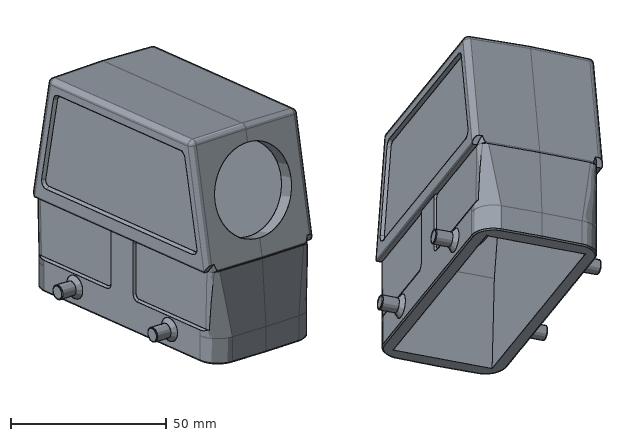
import cadquery as cq
import math

length = 93.5
height = 76.0
base_height = 9.0
shelf_height = 32.1
lower_half_width = 21.3
upper_half_width = 22.5
shelf_half_length = 44.9
end_slope = 11.0
crown_angle = 1.0
crown_slope = math.tan(math.radians(crown_angle))
lean_slope = math.tan(math.radians(end_slope))

base_corner_radius = 7.5
shelf_corner_radius = 3.7
upper_edge_radius = 2.0
shelf_edge_radius = 0.5
bottom_edge_chamfer = 0.5

recess_depth = 0.7
recess_floor_height = 10.9
recess_inner_x = 5.5
recess_corner_radius = 2.2
recess_wall_taper = 50.0
recess_reach = 4.7
core_half_width = lower_half_width - recess_depth
core_base_corner_radius = 5.4
core_shelf_corner_radius = 2.8

relief_inner_x = 42.4
relief_height = 3.2
relief_inner_y = 18.2

window_bottom = 36.7
window_top = 71.2
window_bottom_half_length = 39.5
window_top_half_length = 32.5
window_corner_radius = 2.4
window_depth = 1.1
window_wall_taper = 34.0

pin_x = 23.75
pin_z = 6.4
pin_diameter = 5.0
pin_span = 57.2
pin_tip_chamfer = 0.3
pin_collar_diameter = 8.0
pin_collar_height = 1.5

end_wall = 5.4
side_wall = 4.2
cavity_half_width = lower_half_width - side_wall
entry_diameter = 32.0
entry_height = 54.5


def half_length_at(z):
    """Half length of the upper hood at height z, on the middle plane."""
    return shelf_half_length - (z - shelf_height) * lean_slope


def crowned_outline(half_length, half_width, corner_radius, z):
    """Rounded rectangle whose end faces stand slightly proud in the middle."""
    corner_x = half_length - half_width * crown_slope
    points = [
        (half_length, 0),
        (corner_x, half_width),
        (-corner_x, half_width),
        (-half_length, 0),
        (-corner_x, -half_width),
        (corner_x, -half_width),
    ]
    outline = cq.Wire.makePolygon([cq.Vector(x, y, z) for x, y in points], close=True)
    corners = [v for v in outline.Vertices() if abs(v.Y) > half_width / 2]
    return outline.fillet2D(corner_radius, corners)


def on_both_sides(feature):
    """The feature together with its mirror image across the middle plane."""
    return feature.union(feature.mirror("XZ"))


def make_lower_body():
    """Straight rim with a body above it that narrows towards the shelf."""
    base = crowned_outline(length / 2, lower_half_width, base_corner_radius, 0)
    rim = crowned_outline(length / 2, lower_half_width, base_corner_radius, base_height)
    shelf = crowned_outline(shelf_half_length, lower_half_width, shelf_corner_radius, shelf_height)
    straight = cq.Workplane(cq.Solid.makeLoft([base, rim], True))
    straight = straight.faces("<Z").chamfer(bottom_edge_chamfer)
    return straight.union(cq.Workplane(cq.Solid.makeLoft([rim, shelf], True)))


def make_core():
    """Body left behind the recesses, sharing the end faces of the lower body."""
    rim = crowned_outline(length / 2, core_half_width, core_base_corner_radius, base_height)
    shelf = crowned_outline(shelf_half_length, core_half_width, core_shelf_corner_radius, shelf_height)
    return cq.Workplane(cq.Solid.makeLoft([rim, shelf], True))


def make_upper_hood():
    """Leaning, drafted hood with rounded edges, built as two halves."""
    overlap = 1.9
    bottom = shelf_height - overlap
    profile = [
        (-half_length_at(bottom), bottom),
        (half_length_at(bottom), bottom),
        (half_length_at(height), height),
        (-half_length_at(height), height),
    ]
    half = cq.Workplane("XZ").polyline(profile).close().extrude(upper_half_width, taper=crown_angle)
    trim = cq.Workplane().box(2 * length, 2 * length, shelf_height, centered=(True, True, False))
    half = half.cut(trim)
    outer_edges = half.edges("not(<Z or >Y)")
    half = outer_edges.fillet(upper_edge_radius)
    half = half.faces("<Z").edges("<Y").fillet(shelf_edge_radius)
    return on_both_sides(half)


def make_corner_reliefs():
    """Sloping wedges cleared under the hood's four lower corners, outside the rounded core."""
    top = shelf_height + relief_height
    outer_x = length / 2
    rise = relief_height / (half_length_at(top) - relief_inner_x)
    wedge_profile = [
        (relief_inner_x, shelf_height),
        (outer_x, shelf_height),
        (outer_x, shelf_height + rise * (outer_x - relief_inner_x)),
    ]
    wedge = cq.Workplane("XZ").polyline(wedge_profile).close().extrude(length / 2)
    wedge = wedge.translate((0, -relief_inner_y, 0))
    wedges = on_both_sides(wedge.union(wedge.mirror("YZ")))
    kept_outline = crowned_outline(
        shelf_half_length, core_half_width, core_shelf_corner_radius, shelf_height
    )
    kept_height = cq.Vector(0, 0, height - shelf_height)
    kept = cq.Solid.extrudeLinear(kept_outline, [], kept_height)
    return wedges.cut(cq.Workplane(kept))


def make_recess_envelope():
    """Front-side panels with sloping walls down to the recess floor and straight walls below it."""
    panel_width = length
    inset = recess_depth * math.tan(math.radians(recess_wall_taper))
    panel_height = shelf_height + inset - recess_floor_height
    centre_x = recess_inner_x + panel_width / 2
    centre_z = recess_floor_height + panel_height / 2

    def panel_pair(start_y, shrink, depth, taper):
        return (
            cq.Workplane("XZ", origin=(0, -start_y, 0))
            .sketch()
            .push([(-centre_x, centre_z), (centre_x, centre_z)])
            .rect(panel_width - 2 * shrink, panel_height - 2 * shrink)
            .reset()
            .vertices()
            .fillet(recess_corner_radius - shrink)
            .finalize()
            .extrude(-depth, taper=taper)
        )

    sloping = panel_pair(lower_half_width, 0, recess_depth, recess_wall_taper)
    straight = panel_pair(core_half_width, inset, recess_reach, 0)
    return sloping.union(straight)


def make_side_recesses():
    return on_both_sides(make_recess_envelope().cut(make_core()))


def make_windows():
    profile = [
        (-window_bottom_half_length, window_bottom),
        (window_bottom_half_length, window_bottom),
        (window_top_half_length, window_top),
        (-window_top_half_length, window_top),
    ]
    window = (
        cq.Workplane("XZ", origin=(0, -upper_half_width, 0))
        .sketch()
        .polygon(profile + profile[:1])
        .vertices()
        .fillet(window_corner_radius)
        .finalize()
        .extrude(-window_depth, taper=window_wall_taper)
    )
    return on_both_sides(window)


def make_pins():
    """Two pins on each side, rooted in the wall, with a flared collar where they leave it."""
    half_span = pin_span / 2
    radius = pin_diameter / 2
    collar_end = lower_half_width + pin_collar_height
    profile = [
        (0, cavity_half_width),
        (pin_collar_diameter / 2, cavity_half_width),
        (pin_collar_diameter / 2, lower_half_width),
        (radius, collar_end),
        (radius, half_span - pin_tip_chamfer),
        (radius - pin_tip_chamfer, half_span),
        (0, half_span),
    ]
    pin = cq.Workplane().polyline(profile).close().revolve(360, (0, 0, 0), (0, 1, 0))
    pins = pin.translate((pin_x, 0, pin_z)).union(pin.translate((-pin_x, 0, pin_z)))
    return on_both_sides(pins)


def make_cavity():
    """Open-bottomed hollow following the lean of the end faces."""
    roof = height - end_wall
    wall_along_x = end_wall / math.cos(math.radians(end_slope))
    profile = [
        (-length / 2 + end_wall, 0),
        (length / 2 - end_wall, 0),
        (shelf_half_length - wall_along_x, shelf_height),
        (half_length_at(roof) - wall_along_x, roof),
        (-half_length_at(roof) + wall_along_x, roof),
        (-shelf_half_length + wall_along_x, shelf_height),
    ]
    return cq.Workplane("XZ").polyline(profile).close().extrude(cavity_half_width, both=True)


def make_cable_entry():
    """Round opening square to the +X end face."""
    lean = math.radians(end_slope)
    axis = cq.Vector(math.cos(lean), 0, math.sin(lean))
    centre = cq.Vector(half_length_at(entry_height), 0, entry_height)
    reach = 2 * end_wall
    return cq.Workplane(
        cq.Solid.makeCylinder(entry_diameter / 2, 2 * reach, centre - axis * reach, axis)
    )


upper_hood = make_upper_hood().cut(make_corner_reliefs()).cut(make_windows())
lower_body = make_lower_body().cut(make_side_recesses())
result = (
    lower_body.union(upper_hood)
    .cut(make_cavity())
    .cut(make_cable_entry())
    .union(make_pins())
)